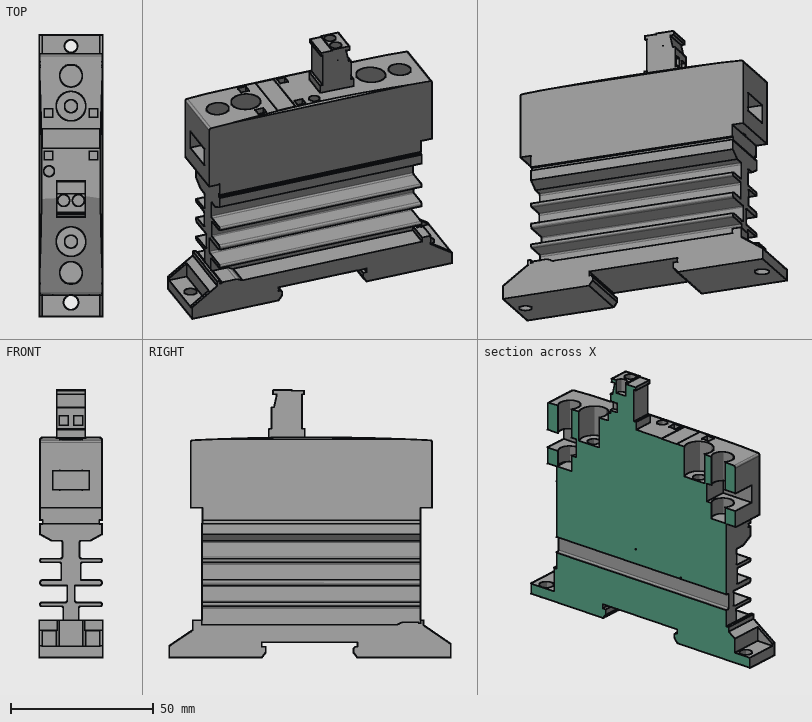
import cadquery as cq

base_width = 22.4
base_length = 98.8
base_back = base_length / 2
base_front = -base_length / 2
deck_z = 11.5
cap_z = 13.1
cap_back = 39.9
cap_front = -41.2
back_slope_bottom_z = 4.8
back_slope_top_z = 11.4
front_slope_bottom_z = 4.15
front_slope_top_z = 9.7
hump_z = 12.4
hump_front = 32.8
hump_groove = 38.1
hump_groove_z = 12.1
ramp_middle = (31.8, 12.2)
ramp_end = (30.9, 11.7)
ramp_foot = 30.3

notch_back = 16.6
notch_front = -16.9
notch_z = 5.3
lip_top_z = 3.9
lip_bottom_z = 1.8
lip_reach = 1.4

pocket_width = 20.1
pocket_floor_z = 4.1
pocket_back = 42.7
pocket_front = -41.6
mount_front_y = -44.5
mount_front_diameter = 5.1
mount_back_y = 45.4
mount_back_diameter = 4.4
niche_half_width = 4.15
niche_wall_y = -39.0
niche_chamfer_y = -40.5

body_width = 21.8
sink_back = 38.8
sink_front = -37.9
sink_top_z = 46.9
plate_edge_z = 43.3
plate_root_z = 41.0
plate_root_half_width = 6.8
plate_root_radius = 0.6
stem_stages = [(2.8, deck_z, 18.6), (1.4, 18.6, 26.3), (3.5, 26.3, 34.1), (3.1, 34.1, plate_root_z)]
fins = [(18.0, 19.4, 0.6), (25.3, 27.3, 0.3), (33.4, 34.8, 0.6)]

neck_width = 19.9
skirt_front = -37.7
housing_bottom_z = 48.2
step_z = 52.6
housing_back = 42.9
housing_front = -41.9
crown_edge_z = 76.3
crown_top_z = 77.4
crown_edge_radius = 0.8
side_bevel_z = 76.7
side_bevel = 0.7

terminal_ys = (35.1, -34.1)
terminal_diameter = 7.9
terminal_bottom_z = 52.9
screw_ys = (24.4, -23.1)
screw_bore_diameter = 10.4
screw_bore_bottom_z = 65.6
screw_socket_diameter = 4.5
screw_socket_depth = 4.0
latch_size = 3.1
latch_depth = 3.0
latch_x = 7.9
latch_ys = (22.0, 7.1)
label_width = 20.2
label_back = 16.5
label_front = 9.7
label_depth = 0.2
lamp_diameter = 3.8
lamp_x = -7.7
lamp_y = 1.6
lamp_depth = 3.0
wire_width = 12.8
wire_bottom_z = 58.9
wire_top_z = 65.6
wire_depth = 12.8

plug_width = 10.2
plug_top_z = 94.0
plug_chamfer = 0.3
plug_hole_diameter = 4.15
plug_pitch = 5.1
plug_hole_y = -8.7
plug_hole_depth = 4.9
plug_face_y = -13.5
plug_back = -2.8
plug_foot_front = -14.5
plug_foot_back = -1.8
plug_foot_z = 80.3
plug_face_top_z = 87.9
plug_slope_front = -12.6
plug_slope_back = -11.7
plug_head_z = 92.4
plug_head_front = -13.0
plug_head_back = -2.1
plug_step_y = -6.3
plug_step_z = 93.7
plug_bottom_z = crown_top_z - 1.0
plug_window_width = 3.1
plug_window_bottom_z = 81.5
plug_window_top_z = 84.9
plug_window_depth = 3.0


select_margin = 0.1


def block(x0, x1, y0, y1, z0, z1):
    return cq.Workplane("XY").box(x1 - x0, y1 - y0, z1 - z0, centered=False).translate((x0, y0, z0))


def centred_block(width, y0, y1, z0, z1):
    return block(-width / 2, width / 2, y0, y1, z0, z1)


def pin(x, y, diameter, z0, z1):
    return cq.Workplane("XY", origin=(x, y, z0)).circle(diameter / 2).extrude(z1 - z0)


def box_around(x0, x1, y0, y1, z):
    """Selector for edges lying inside the given ranges at height z."""
    low = (x0 - select_margin, y0 - select_margin, z - select_margin)
    high = (x1 + select_margin, y1 + select_margin, z + select_margin)
    return cq.selectors.BoxSelector(low, high)


def make_base():
    underside = [
        (notch_front, 0),
        (notch_front + lip_reach, lip_bottom_z),
        (notch_front + lip_reach, lip_top_z),
        (notch_front, lip_top_z),
        (notch_front, notch_z),
        (notch_back, notch_z),
        (notch_back, lip_top_z),
        (notch_back - lip_reach / 2, lip_top_z),
        (notch_back - lip_reach, lip_top_z - lip_reach / 2),
        (notch_back - lip_reach, lip_bottom_z),
        (notch_back, 0),
    ]
    back_end = [
        (base_back, 0),
        (base_back, back_slope_bottom_z),
        (cap_back, back_slope_top_z),
        (cap_back, cap_z),
        (sink_back, cap_z),
        (sink_back, hump_groove_z),
        (hump_groove, hump_groove_z),
        (hump_groove, hump_z),
        (hump_front, hump_z),
    ]
    front_end = [
        (ramp_foot, deck_z),
        (sink_front, deck_z),
        (sink_front, cap_z),
        (cap_front, cap_z),
        (cap_front, front_slope_top_z),
        (base_front, front_slope_bottom_z),
    ]
    outline = cq.Workplane("YZ").polyline([(base_front, 0)] + underside + back_end)
    outline = outline.threePointArc(ramp_middle, ramp_end)
    for point in front_end:
        outline = outline.lineTo(*point)
    base = outline.close().extrude(base_width / 2, both=True)

    base = base.cut(centred_block(pocket_width, pocket_back, base_back, pocket_floor_z, cap_z))
    base = base.cut(centred_block(pocket_width, base_front, pocket_front, pocket_floor_z, cap_z))

    flare = niche_chamfer_y - pocket_front
    half_niche = [
        (niche_half_width, niche_wall_y),
        (niche_half_width, niche_chamfer_y),
        (niche_half_width + flare, pocket_front),
    ]
    niche_points = half_niche + [(-x, y) for x, y in reversed(half_niche)]
    niche = cq.Workplane("XY", origin=(0, 0, pocket_floor_z)).polyline(niche_points).close()
    base = base.cut(niche.extrude(cap_z - pocket_floor_z))

    base = base.cut(pin(0, mount_front_y, mount_front_diameter, 0, pocket_floor_z))
    return base.cut(pin(0, mount_back_y, mount_back_diameter, 0, pocket_floor_z))


def make_heat_sink():
    half = body_width / 2
    plate = [
        (-half, sink_top_z),
        (-half, plate_edge_z),
        (-plate_root_half_width, plate_root_z),
        (plate_root_half_width, plate_root_z),
        (half, plate_edge_z),
        (half, sink_top_z),
    ]
    length = sink_back - sink_front
    sink = cq.Workplane("XZ", origin=(0, sink_back, 0)).polyline(plate).close().extrude(length)
    for half_width, z0, z1 in stem_stages:
        sink = sink.union(centred_block(2 * half_width, sink_front, sink_back, z0, z1))
    for z0, z1, _ in fins:
        fin = cq.Workplane("XZ", origin=(0, sink_back, (z0 + z1) / 2)).slot2D(body_width, z1 - z0)
        sink = sink.union(fin.extrude(length))

    roots = [(plate_root_z, plate_root_radius)]
    for z0, z1, radius in fins:
        roots += [(z0, radius), (z1, radius)]
    for half_width, stage_z0, stage_z1 in stem_stages:
        stage_roots = [root for root in roots if stage_z0 <= root[0] <= stage_z1]
        for x in (-half_width, half_width):
            for z, radius in stage_roots:
                corner = box_around(x, x, sink_front, sink_back, z)
                sink = sink.edges("|Y").edges(corner).fillet(radius)
    return sink


def make_housing():
    half = body_width / 2
    middle_y = (housing_back + housing_front) / 2
    body = (
        cq.Workplane("YZ")
        .moveTo(housing_front, step_z)
        .lineTo(housing_front, crown_edge_z)
        .threePointArc((middle_y, crown_top_z), (housing_back, crown_edge_z))
        .lineTo(housing_back, step_z)
        .close()
        .extrude(half, both=True)
    )
    crown_ends = box_around(-half, half, housing_front, housing_back, crown_edge_z)
    body = body.edges("|X").edges(crown_ends).fillet(crown_edge_radius)

    for side in (-1, 1):
        bevel = (
            cq.Workplane("XZ", origin=(0, housing_back, 0))
            .moveTo(side * half, side_bevel_z)
            .lineTo(side * (half - side_bevel), crown_top_z)
            .lineTo(side * half, crown_top_z)
            .close()
            .extrude(housing_back - housing_front)
        )
        body = body.cut(bevel)

    skirt = centred_block(body_width, skirt_front, sink_back, housing_bottom_z, step_z)
    neck = centred_block(neck_width, skirt_front, sink_back, sink_top_z, housing_bottom_z)
    return body.union(skirt).union(neck)


def cut_terminals(part):
    for y in terminal_ys:
        part = part.cut(pin(0, y, terminal_diameter, terminal_bottom_z, crown_top_z))
    for y in screw_ys:
        part = part.cut(pin(0, y, screw_bore_diameter, screw_bore_bottom_z, crown_top_z))
        socket_bottom_z = screw_bore_bottom_z - screw_socket_depth
        part = part.cut(pin(0, y, screw_socket_diameter, socket_bottom_z, screw_bore_bottom_z))
    for y0, y1 in (
        (housing_front, housing_front + wire_depth),
        (housing_back - wire_depth, housing_back),
    ):
        part = part.cut(centred_block(wire_width, y0, y1, wire_bottom_z, wire_top_z))
    return part


def cut_cover_details(part):
    half = latch_size / 2
    latch_floor_z = crown_top_z - latch_depth
    for x in (-latch_x, latch_x):
        for y in latch_ys:
            part = part.cut(block(x - half, x + half, y - half, y + half, latch_floor_z, crown_top_z))
    label_floor_z = crown_top_z - label_depth
    part = part.cut(centred_block(label_width, label_front, label_back, label_floor_z, crown_top_z))
    return part.cut(pin(lamp_x, lamp_y, lamp_diameter, crown_top_z - lamp_depth, crown_top_z))


def make_plug():
    front_side = [
        (plug_foot_front, plug_bottom_z),
        (plug_foot_front, plug_foot_z - plug_chamfer),
        (plug_foot_front + plug_chamfer, plug_foot_z),
        (plug_face_y, plug_foot_z),
        (plug_face_y, plug_face_top_z - plug_chamfer),
        (plug_face_y + plug_chamfer, plug_face_top_z),
        (plug_slope_front, plug_face_top_z),
        (plug_slope_back, plug_head_z),
        (plug_head_front, plug_head_z),
        (plug_head_front, plug_top_z - plug_chamfer),
        (plug_head_front + plug_chamfer, plug_top_z),
    ]
    back_side = [
        (plug_step_y, plug_top_z),
        (plug_step_y, plug_step_z),
        (plug_head_back, plug_step_z),
        (plug_head_back, plug_head_z),
        (plug_back, plug_head_z),
        (plug_back, plug_foot_z),
        (plug_foot_back, plug_foot_z),
        (plug_foot_back, plug_bottom_z),
    ]
    outline = cq.Workplane("YZ").polyline(front_side + back_side).close()
    plug = outline.extrude(plug_width / 2, both=True)
    for x in (-plug_pitch / 2, plug_pitch / 2):
        plug = plug.cut(pin(x, plug_hole_y, plug_hole_diameter, plug_top_z - plug_hole_depth, plug_top_z))
        window = block(
            x - plug_window_width / 2,
            x + plug_window_width / 2,
            plug_face_y,
            plug_face_y + plug_window_depth,
            plug_window_bottom_z,
            plug_window_top_z,
        )
        plug = plug.cut(window)
    return plug


housing = cut_cover_details(cut_terminals(make_housing()))
result = make_base().union(make_heat_sink()).union(housing).union(make_plug())